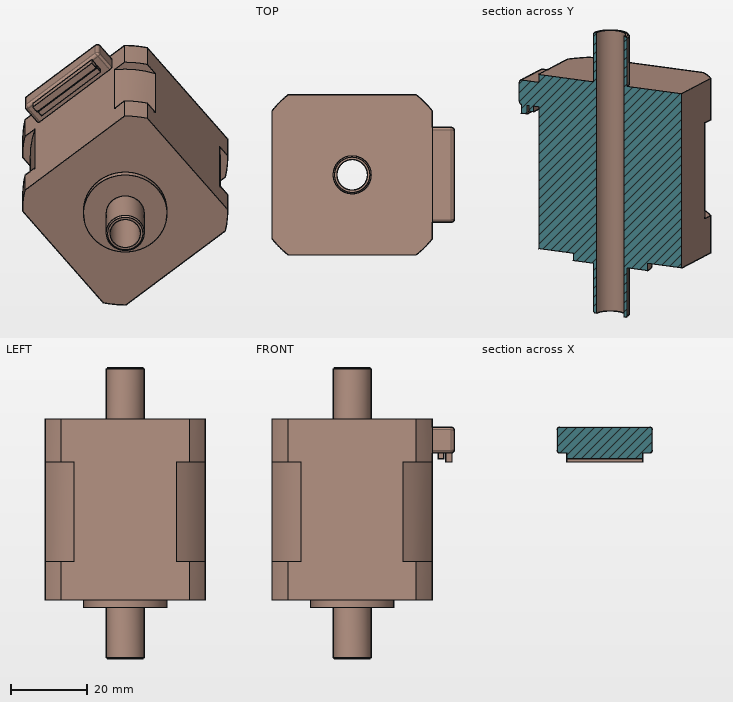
import cadquery as cq

body_side = 42.2
body_height = 47.65
top_cap_height = 11.3
bottom_cap_height = 10.2
cap_corner_diameter = 54.0
waist_corner_diameter = 50.0

shaft_diameter = 10.0
bore_diameter = 8.0
shaft_chamfer = 0.4
total_height = 76.6
flange_diameter = 22.0
flange_height = 2.0
shaft_extension = (total_height - body_height - flange_height) / 2

connector_depth = 5.8
connector_width = 25.05
connector_height = 6.8
connector_drop = 2.15
connector_edge_round = 0.7
connector_end_round = 0.9

connector_keys = [(1.5, 1.45, 1.5), (3.45, 1.8, 2.4)]
key_width = 20.0

shaft_bottom = -flange_height - shaft_extension


def make_corner_rounded_slab(corner_diameter, height, base_level):
    """Square slab whose four corners are rounded about the motor axis."""
    slab = cq.Workplane("XY").box(body_side, body_side, height, centered=(True, True, False))
    rounding = cq.Workplane("XY").circle(corner_diameter / 2).extrude(height)
    return slab.intersect(rounding).translate((0, 0, base_level))


def make_body():
    waist_top = body_height - top_cap_height
    waist_height = waist_top - bottom_cap_height
    bottom_cap = make_corner_rounded_slab(cap_corner_diameter, bottom_cap_height, 0)
    waist = make_corner_rounded_slab(waist_corner_diameter, waist_height, bottom_cap_height)
    top_cap = make_corner_rounded_slab(cap_corner_diameter, top_cap_height, waist_top)
    return bottom_cap.union(waist).union(top_cap)


def make_shaft():
    shaft = cq.Workplane("XY").circle(shaft_diameter / 2).extrude(total_height)
    shaft = shaft.faces("<Z or >Z").chamfer(shaft_chamfer)
    return shaft.translate((0, 0, shaft_bottom))


def make_flange():
    return cq.Workplane("XY").circle(flange_diameter / 2).extrude(-flange_height)


def make_connector():
    body_face = body_side / 2
    bottom = body_height - connector_drop - connector_height
    shell = cq.Workplane("XY").box(
        connector_depth, connector_width, connector_height, centered=(False, True, False)
    )
    shell = shell.edges("|X").fillet(connector_edge_round)
    shell = shell.faces(">X").edges().fillet(connector_end_round)
    connector = shell.translate((body_face, 0, bottom))
    for gap, thickness, height in connector_keys:
        key_height = height + connector_height / 2
        key = cq.Workplane("XY").box(thickness, key_width, key_height, centered=(False, True, False))
        connector = connector.union(key.translate((body_face + gap, 0, bottom - height)))
    return connector


def make_bore():
    bore = cq.Workplane("XY").circle(bore_diameter / 2).extrude(total_height)
    return bore.translate((0, 0, shaft_bottom))


result = make_body().union(make_shaft()).union(make_flange()).union(make_connector()).cut(make_bore())